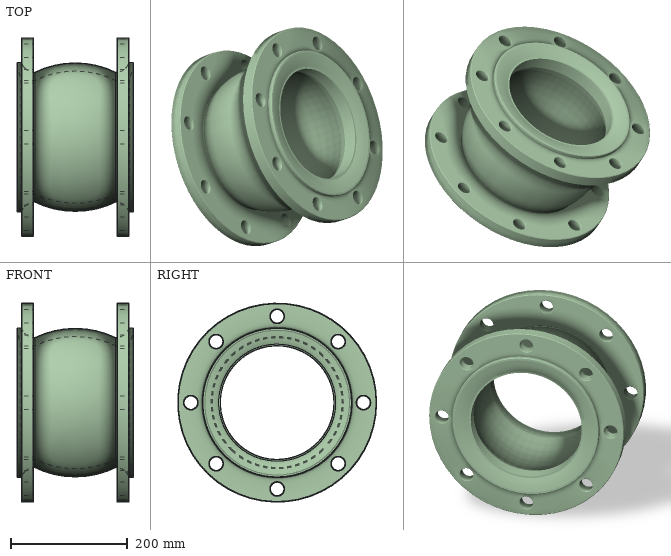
import cadquery as cq
import math

overall_length = 199.0
lip_thickness = 7.5

flange_diameter = 340.0
flange_thickness = 21.0
flange_chamfer = 1.0
bolt_circle_diameter = 295.0
bolt_hole_diameter = 23.0
bolt_hole_count = 8

lip_diameter = 256.0
lip_chamfer = 1.0
neck_diameter = 222.0
bulge_diameter = 254.0
bore_diameter = 194.0
neck_exposed_length = 2.0

seat_outer_diameter = 247.5
seat_inner_diameter = 200.0
seat_depth = 7.0
seat_bow = 0.8

face_x = overall_length / 2
flange_outer_x = face_x - lip_thickness
flange_inner_x = flange_outer_x - flange_thickness
bulge_end_x = flange_inner_x - neck_exposed_length
seat_floor_x = face_x - seat_depth

lip_radius = lip_diameter / 2
neck_radius = neck_diameter / 2
bulge_radius = bulge_diameter / 2
bore_radius = bore_diameter / 2
seat_outer_radius = seat_outer_diameter / 2
seat_inner_radius = seat_inner_diameter / 2
bulge_bore_radius = bulge_radius - (neck_radius - bore_radius)

flare_length = flange_outer_x - bulge_end_x
flare_rise = lip_radius - neck_radius
flare_radius = (flare_length**2 + flare_rise**2) / (2 * flare_rise)
flare_half_angle = math.atan2(flare_rise, flare_length)
flare_middle_x = bulge_end_x + flare_radius * math.sin(flare_half_angle)
flare_middle_radius = neck_radius + flare_radius * (1 - math.cos(flare_half_angle))

seat_middle_x = (face_x + seat_floor_x) / 2 + seat_bow
seat_middle_radius = (seat_outer_radius + seat_inner_radius) / 2


def revolve_about_x(profile):
    """Full turn of a closed XY profile about the X axis."""
    return profile.revolve(360, (0, 0, 0), (1, 0, 0))


def make_bellows():
    """Bulged rubber sleeve that flares into a dished sealing lip at both ends."""
    profile = (
        cq.Workplane("XY")
        .moveTo(-bulge_end_x, neck_radius)
        .threePointArc((0, bulge_radius), (bulge_end_x, neck_radius))
        .threePointArc((flare_middle_x, flare_middle_radius), (flange_outer_x, lip_radius))
        .lineTo(face_x - lip_chamfer, lip_radius)
        .lineTo(face_x, lip_radius - lip_chamfer)
        .lineTo(face_x, seat_outer_radius)
        .threePointArc((seat_middle_x, seat_middle_radius), (seat_floor_x, seat_inner_radius))
        .lineTo(seat_floor_x, bore_radius)
        .lineTo(bulge_end_x, bore_radius)
        .threePointArc((0, bulge_bore_radius), (-bulge_end_x, bore_radius))
        .lineTo(-seat_floor_x, bore_radius)
        .lineTo(-seat_floor_x, seat_inner_radius)
        .threePointArc((-seat_middle_x, seat_middle_radius), (-face_x, seat_outer_radius))
        .lineTo(-face_x, lip_radius - lip_chamfer)
        .lineTo(-face_x + lip_chamfer, lip_radius)
        .lineTo(-flange_outer_x, lip_radius)
        .threePointArc((-flare_middle_x, flare_middle_radius), (-bulge_end_x, neck_radius))
        .close()
    )
    return revolve_about_x(profile)


def make_flange_bore():
    """Solid plug with the shape of the flare, which leaves the flange bore when cut away."""
    profile = (
        cq.Workplane("XY")
        .moveTo(bulge_end_x, 0)
        .lineTo(bulge_end_x, neck_radius)
        .threePointArc((flare_middle_x, flare_middle_radius), (flange_outer_x, lip_radius))
        .lineTo(flange_outer_x, 0)
        .close()
    )
    return revolve_about_x(profile)


def make_flange():
    """Drilled +X flange that seats on the bellows flare, with all face edges chamfered."""
    inner_plane = cq.Workplane("YZ", origin=(flange_inner_x, 0, 0))
    disc = inner_plane.circle(flange_diameter / 2).extrude(flange_thickness)
    bolt_holes = (
        inner_plane.polarArray(bolt_circle_diameter / 2, 0, 360, bolt_hole_count)
        .circle(bolt_hole_diameter / 2)
        .extrude(flange_thickness)
    )
    drilled = disc.cut(make_flange_bore()).cut(bolt_holes)
    return drilled.faces("<X or >X").edges().chamfer(flange_chamfer)


bellows = make_bellows()
right_flange = make_flange()
left_flange = right_flange.mirror("YZ")

result = cq.Compound.makeCompound([bellows.val(), left_flange.val(), right_flange.val()])